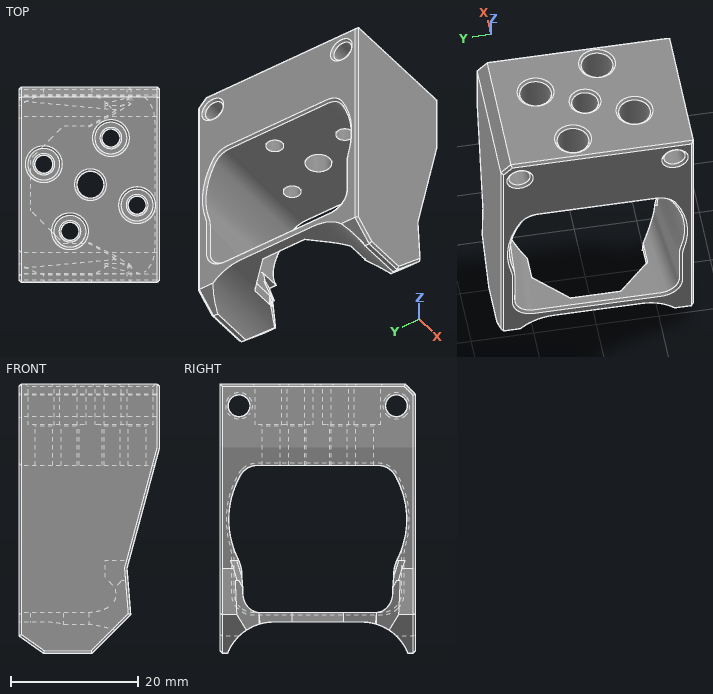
import cadquery as cq
import math

length_x = 22.18
width_y = 30.8
height_z = 42.4
mid_y = width_y / 2
edge_chamfer = 0.4
rear_top_chamfer = 1.6

slope_top_z = 32.4
waist_x, waist_z = 17.05, 13.4
knee_x, knee_z = 17.65, 6.1
foot_start_x = 3.9
foot_end_x = knee_x - knee_z
heel_z = 2.75

barrel_radius = 14.0
barrel_z = 21.07
ceiling_z = 29.55
floor_z = 6.45
corner_radius = 3.0
trough_half_width = 13.2
trough_taper = 5.3
blend_radius = 5.0

arch_z = 4.9
arch_radius = 7.7
arch_flat = 14.0

relief_start_x = 1.82
relief_half_start = 4.03
relief_half_width = 9.25

flare_x = 11.02
flare_spread = 28.0
flare_lean = 5.0
flare_top_z = 11.45

waist_flare_x = 13.55
waist_flare_half_width = 10.15
waist_flare_spread = 14.4
waist_flare_lean = 17.8
waist_flare_top_z = 14.63

pin_diameter = 3.4
pin_inset_y = 3.0
pin_z = height_z - 3.45
pattern_x = 11.28
centre_hole_diameter = 4.2
screw_count = 4
screw_circle_radius = 8.0
screw_start_angle = 66.3
screw_hole_diameter = 2.8
screw_seat_chamfer = 0.3
bore_diameter = 5.0
bore_depth = 6.35

past_x = length_x + 4.25
margin = 0.42


def tangent(degrees):
    return math.tan(math.radians(degrees))


def edges_within(low, high):
    """Selector for edges whose centre lies in the box between two corners."""
    return cq.selectors.BoxSelector(low, high)


def make_block():
    outline = [
        (0, height_z),
        (length_x, height_z),
        (length_x, slope_top_z),
        (waist_x, waist_z),
        (knee_x, knee_z),
        (foot_end_x, 0),
        (foot_start_x, 0),
        (0, heel_z),
    ]
    block = cq.Workplane("XZ").polyline(outline).close().extrude(-width_y)
    block = block.faces(">Z").edges(">Y").chamfer(rear_top_chamfer)

    corner = (past_x, width_y + margin, height_z + margin)
    under_top = (past_x, width_y + margin, height_z - rear_top_chamfer - margin)
    above_heel = edges_within((-margin, -margin, heel_z + margin), corner)
    above_slope = edges_within((-margin, -margin, slope_top_z + margin), corner)
    below_top = edges_within((-margin, -margin, -margin), under_top)
    small_edges = (
        block.faces("<X").edges(above_heel)
        .add(block.faces(">X").edges(above_slope))
        .add(block.faces("<Y or >Y").edges(below_top))
    )
    return small_edges.chamfer(edge_chamfer)


def make_barrel():
    barrel = cq.Workplane("YZ").center(mid_y, barrel_z).circle(barrel_radius).extrude(past_x)
    below_ceiling = cq.Workplane("XY").box(past_x, width_y, ceiling_z, centered=False)
    barrel = barrel.intersect(below_ceiling)
    return barrel.edges("|X").edges(">Z").fillet(corner_radius)


def make_trough():
    half_end = trough_half_width - past_x * tangent(trough_taper)
    plan = [
        (0, -trough_half_width),
        (past_x, -half_end),
        (past_x, half_end),
        (0, trough_half_width),
    ]
    trough = (
        cq.Workplane("XY", origin=(0, mid_y, floor_z))
        .polyline(plan)
        .close()
        .extrude(barrel_z - floor_z)
    )
    return trough.faces("<Z").edges("not(<X or >X)").fillet(corner_radius)


def make_window():
    window = make_barrel().union(make_trough())
    seams = edges_within(
        (margin, 0, floor_z + corner_radius + margin),
        (past_x - margin, width_y, barrel_z - margin),
    )
    return window.edges(seams).fillet(blend_radius)


def chamfer_window_mouth(block):
    mouth = edges_within(
        (-margin, edge_chamfer + margin, floor_z - margin),
        (margin, width_y - edge_chamfer - margin, ceiling_z + margin),
    )
    return block.faces("<X").edges(mouth).chamfer(edge_chamfer)


def make_arch():
    """Flat-topped arch with a quarter circle at each side; its centres lie below the feet."""
    half_flat = arch_flat / 2
    half_span = half_flat + arch_radius
    centre_z = arch_z - arch_radius
    diagonal = arch_radius * math.sqrt(0.5)
    return (
        cq.Workplane("YZ", origin=(0, mid_y, centre_z))
        .moveTo(-half_span, 0)
        .threePointArc((-half_flat - diagonal, diagonal), (-half_flat, arch_radius))
        .lineTo(half_flat, arch_radius)
        .threePointArc((half_flat + diagonal, diagonal), (half_span, 0))
        .close()
        .extrude(past_x)
    )


def make_relief():
    widening = relief_half_width - relief_half_start
    side = [
        (relief_start_x, relief_half_start),
        (relief_start_x + widening, relief_half_width),
        (flare_x, relief_half_width),
    ]
    mirrored = [(x, -y) for x, y in reversed(side)]
    return (
        cq.Workplane("XY", origin=(0, mid_y, 0))
        .polyline(side + mirrored)
        .close()
        .extrude(flare_top_z)
    )


def make_flare(start_x, half_at_floor, spread, lean, top_z):
    """Wedge that widens towards +X by the spread angle and upwards by the lean angle."""

    def plan_at(z):
        half_start = half_at_floor + (z - floor_z) * tangent(lean)
        half_end = half_start + (past_x - start_x) * tangent(spread)
        return [
            (start_x, -half_start),
            (past_x, -half_end),
            (past_x, half_end),
            (start_x, half_start),
        ]

    return (
        cq.Workplane("XY", origin=(0, mid_y, 0))
        .polyline(plan_at(0)).close()
        .workplane(offset=top_z)
        .polyline(plan_at(top_z)).close()
        .loft(ruled=True)
    )


def make_hole(face, diameter, depth, mouth_chamfer):
    """Round hole drilled inwards from the face workplane, with a chamfered mouth."""
    radius = diameter / 2
    profile = [
        (0, 0),
        (radius + mouth_chamfer, 0),
        (radius, -mouth_chamfer),
        (radius, -depth),
        (0, -depth),
    ]
    hole = cq.Workplane("XZ").polyline(profile).close().revolve(360, (0, 0), (0, 1))
    return cq.Workplane(hole.val().located(cq.Location(face)))


def top_face_at(x, y, z=height_z):
    return cq.Plane(origin=(x, y, z))


def drill_top_holes(block):
    to_window = height_z - ceiling_z + margin
    centre = top_face_at(pattern_x, mid_y)
    block = block.cut(make_hole(centre, centre_hole_diameter, to_window, edge_chamfer))
    for i in range(screw_count):
        angle = math.radians(screw_start_angle + i * 360 / screw_count)
        x = pattern_x + screw_circle_radius * math.cos(angle)
        y = mid_y + screw_circle_radius * math.sin(angle)
        seat = top_face_at(x, y, height_z - bore_depth)
        block = block.cut(make_hole(top_face_at(x, y), bore_diameter, bore_depth, edge_chamfer))
        block = block.cut(make_hole(seat, screw_hole_diameter, to_window - bore_depth, screw_seat_chamfer))
    return block


def drill_pin_holes(block):
    for y in (pin_inset_y, width_y - pin_inset_y):
        face = cq.Plane(origin=(0, y, pin_z), xDir=(0, 1, 0), normal=(-1, 0, 0))
        block = block.cut(make_hole(face, pin_diameter, past_x, edge_chamfer))
    return block


result = make_block().cut(make_window())
result = chamfer_window_mouth(result)
result = result.cut(make_arch()).cut(make_relief())
result = result.cut(make_flare(flare_x, relief_half_width, flare_spread, flare_lean, flare_top_z))
result = result.cut(make_flare(
    waist_flare_x,
    waist_flare_half_width,
    waist_flare_spread,
    waist_flare_lean,
    waist_flare_top_z,
))
result = drill_top_holes(result)
result = drill_pin_holes(result)